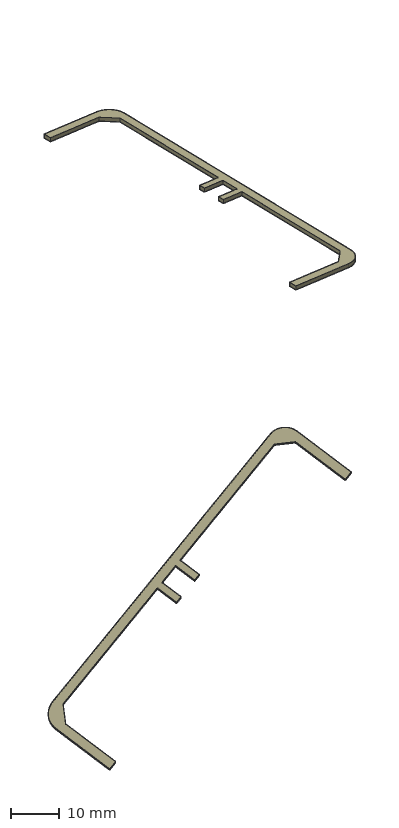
import cadquery as cq

length = 80.0
depth = 18.0
thickness = 1.0

bar_width = 2.0
corner_radius = 4.0
inner_chamfer = 3.0

prong_width = 1.5
prong_length = 5.0
prong_spacing = 6.0

inner_length = length - 2 * bar_width
inner_depth = depth - bar_width


def plate(x_size, y_size, x_centre, y_start):
    """Flat rectangular plate resting on Z = 0 and running towards +Y."""
    return (
        cq.Workplane("XY")
        .box(x_size, y_size, thickness, centered=(True, False, False))
        .translate((x_centre, y_start, 0))
    )


def make_frame():
    """U-shaped frame with rounded outer and chamfered inner corners."""
    outer = plate(length, depth, 0, 0).edges("|Z and >Y").fillet(corner_radius)
    opening = plate(inner_length, inner_depth, 0, 0).edges("|Z and >Y").chamfer(inner_chamfer)
    return outer.cut(opening)


result = make_frame()

for side in (-1, 1):
    prong = plate(
        prong_width,
        prong_length + bar_width / 2,
        side * prong_spacing / 2,
        inner_depth - prong_length,
    )
    result = result.union(prong)